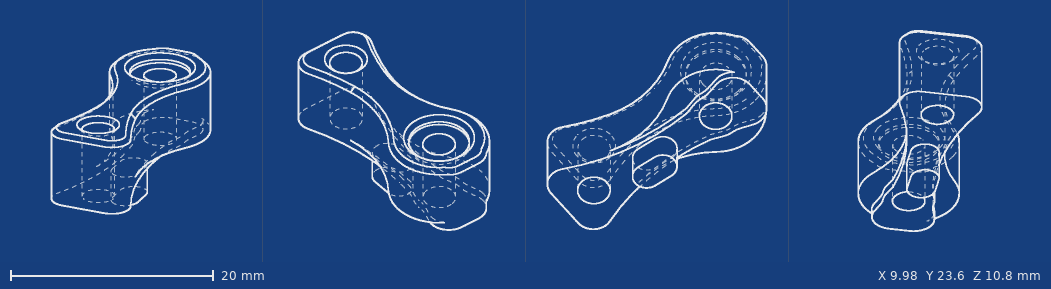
import cadquery as cq
import math

body_height = 7.7
head_underside = 0.92
pin_length = 3.12
edge_chamfer = 0.5

head_diameter = 9.98
head_radius = head_diameter / 2
hole_spacing = 15.0
body_length = 23.6
body_end = head_radius
foot_end = body_end - body_length

top_corner_radius = 2.08
foot_corner_radius = 1.86
top_flat_half = 1.05
foot_flat_half = 2.25
side_radius = 25.02

neck_radius = 10.27

hole_diameter = 3.2
counterbore_diameter = 6.0
counterbore_depth = 0.85
boss_radius = 2.55
boss_taper = 19.0
boss_flank = 1.89
boss_blend_radius = 2.6
pin_width = 2.8
pin_overall = 4.8


def polar(center, radius, angle):
    """Point on a circle, angle in radians from +X."""
    return (center[0] + radius * math.cos(angle), center[1] + radius * math.sin(angle))


def mirrored(point):
    return (-point[0], point[1])


def circle_crossing(center_a, radius_a, center_b, radius_b):
    """Crossing point of two circles on the left of the way from A to B."""
    dx = center_b[0] - center_a[0]
    dy = center_b[1] - center_a[1]
    gap = math.hypot(dx, dy)
    along = (radius_a ** 2 - radius_b ** 2 + gap ** 2) / (2 * gap)
    across = math.sqrt(radius_a ** 2 - along ** 2)
    return (
        center_a[0] + (along * dx - across * dy) / gap,
        center_a[1] + (along * dy + across * dx) / gap,
    )


top_corner = (top_flat_half, body_end - top_corner_radius)
foot_corner = (foot_flat_half, foot_end + foot_corner_radius)
side_center = circle_crossing(
    top_corner, side_radius + top_corner_radius, foot_corner, side_radius + foot_corner_radius
)


def angle_to_side_center(corner):
    return math.atan2(side_center[1] - corner[1], side_center[0] - corner[0])


def hourglass():
    """Full-height body with rounded ends and concave sides."""
    top_angle = angle_to_side_center(top_corner)
    foot_angle = angle_to_side_center(foot_corner)
    top_join = polar(top_corner, top_corner_radius, top_angle)
    foot_join = polar(foot_corner, foot_corner_radius, foot_angle)
    top_mid = polar(top_corner, top_corner_radius, (top_angle + math.pi / 2) / 2)
    foot_mid = polar(foot_corner, foot_corner_radius, (foot_angle - math.pi / 2) / 2)
    side_mid = polar(side_center, side_radius, math.pi + (top_angle + foot_angle) / 2)
    return (
        cq.Workplane("XY")
        .moveTo(top_flat_half, body_end)
        .threePointArc(top_mid, top_join)
        .threePointArc(side_mid, foot_join)
        .threePointArc(foot_mid, (foot_flat_half, foot_end))
        .lineTo(-foot_flat_half, foot_end)
        .threePointArc(mirrored(foot_mid), mirrored(foot_join))
        .threePointArc(mirrored(side_mid), mirrored(top_join))
        .threePointArc(mirrored(top_mid), (-top_flat_half, body_end))
        .close()
        .extrude(body_height)
        .faces(">Z").edges().chamfer(edge_chamfer)
    )


def head_and_neck():
    """Round head blending into concave neck arcs, raised above the underside."""
    neck_center = circle_crossing(
        side_center, side_radius - neck_radius, (0, 0), head_radius + neck_radius
    )
    join_angle = math.atan2(neck_center[1], neck_center[0])
    stop_angle = math.atan2(neck_center[1] - side_center[1], neck_center[0] - side_center[0])
    stop_angle %= 2 * math.pi
    join = polar((0, 0), head_radius, join_angle)
    waist = polar(neck_center, neck_radius, (join_angle + math.pi + stop_angle) / 2)
    stop = polar(neck_center, neck_radius, stop_angle)
    return (
        cq.Workplane("XY")
        .workplane(offset=head_underside)
        .moveTo(*stop)
        .threePointArc(waist, join)
        .threePointArc((0, head_radius), mirrored(join))
        .threePointArc(mirrored(waist), mirrored(stop))
        .close()
        .extrude(body_height - head_underside)
        .faces(">Z").edges("%CIRCLE").chamfer(edge_chamfer)
    )


def hole_cutter(y, diameter, depth):
    """Cylinder down from the top face with a chamfered mouth."""
    bore = (
        cq.Workplane("XY").workplane(offset=body_height - depth)
        .center(0, y).circle(diameter / 2).extrude(depth)
    )
    mouth = cq.Solid.makeCone(
        diameter / 2, diameter / 2 + edge_chamfer, edge_chamfer,
        pnt=cq.Vector(0, y, body_height - edge_chamfer),
    )
    return bore.union(cq.Workplane(mouth))


def boss():
    """Round boss below the head, with straight flanks tapering into the neck."""
    taper = math.radians(boss_taper)
    tangent = polar((0, 0), boss_radius, -taper)
    tip = (tangent[0] - boss_flank * math.sin(taper), tangent[1] - boss_flank * math.cos(taper))
    return (
        cq.Workplane("XY")
        .moveTo(*tip)
        .lineTo(*tangent)
        .threePointArc((0, boss_radius), mirrored(tangent))
        .lineTo(*mirrored(tip))
        .close()
        .extrude(head_underside)
    )


body = hourglass().union(boss())

notch_zone = cq.selectors.BoxSelector(
    (-boss_radius, 0, 0), (boss_radius, boss_radius / 2, head_underside)
)
body = body.edges("|Z").edges(notch_zone).fillet(boss_blend_radius)
body = body.union(head_and_neck())

body = body.cut(cq.Workplane("XY").circle(hole_diameter / 2).extrude(body_height))
body = body.cut(hole_cutter(0, counterbore_diameter, counterbore_depth))
body = body.cut(hole_cutter(-hole_spacing, hole_diameter, body_height))

pin = (
    cq.Workplane("XY").center(0, -hole_spacing / 2)
    .slot2D(pin_overall, pin_width, 90).extrude(-pin_length)
)
result = body.union(pin)